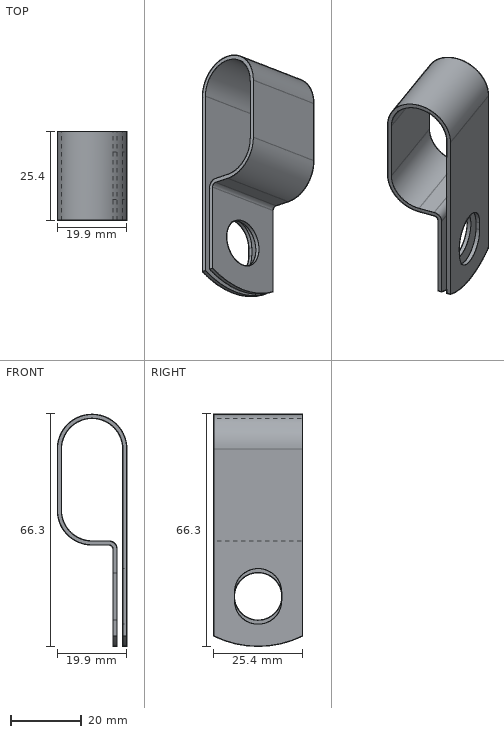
import cadquery as cq
import math

thickness = 1.214
width = 25.4
height = 66.26

loop_inner_width = 17.462
loop_straight = 17.462
inner_radius = loop_inner_width / 2
outer_radius = inner_radius + thickness

tab_gap = 1.588
bend_inner_radius = 1.15
bend_outer_radius = bend_inner_radius + thickness
hole_diameter = 13.49
slot_length = 15.875
hole_height = 14.288
end_radius = 28.575

upper_center_z = height - outer_radius
lower_center_z = upper_center_z - loop_straight
loop_floor_z = lower_center_z - inner_radius
loop_bottom_z = lower_center_z - outer_radius

short_tab_right = inner_radius - tab_gap
short_tab_left = short_tab_right - thickness
bend_center = (short_tab_left - bend_inner_radius, loop_bottom_z - bend_inner_radius)


def point_on_circle(center, radius, angle):
    """Point on an XZ circle, with the angle in degrees measured from +X."""
    return (
        center[0] + radius * math.cos(math.radians(angle)),
        center[1] + radius * math.sin(math.radians(angle)),
    )


def add_arc(path, center, radius, start, end):
    """Continue a path along an arc whose start angle is the current point."""
    middle_point = point_on_circle(center, radius, (start + end) / 2)
    end_point = point_on_circle(center, radius, end)
    return path.threePointArc(middle_point, end_point)


def make_strip():
    """Bent strip of constant thickness, centred on Y = 0."""
    upper_center = (0, upper_center_z)
    lower_center = (0, lower_center_z)

    path = cq.Workplane("XZ").moveTo(outer_radius, 0)
    path = path.lineTo(outer_radius, upper_center_z)
    path = add_arc(path, upper_center, outer_radius, 0, 180)
    path = path.lineTo(-outer_radius, lower_center_z)
    path = add_arc(path, lower_center, outer_radius, 180, 270)
    path = path.lineTo(bend_center[0], loop_bottom_z)
    path = add_arc(path, bend_center, bend_inner_radius, 90, 0)
    path = path.lineTo(short_tab_left, 0)

    path = path.lineTo(short_tab_right, 0)
    path = path.lineTo(short_tab_right, bend_center[1])
    path = add_arc(path, bend_center, bend_outer_radius, 0, 90)
    path = path.lineTo(0, loop_floor_z)
    path = add_arc(path, lower_center, inner_radius, 270, 180)
    path = path.lineTo(-inner_radius, upper_center_z)
    path = add_arc(path, upper_center, inner_radius, 180, 0)
    path = path.lineTo(inner_radius, 0)
    return path.close().extrude(width / 2, both=True)


def make_rounded_end_envelope():
    """Block along X whose lower end has the curve shared by both tabs."""
    half_width = width / 2
    corner_z = end_radius - math.sqrt(end_radius**2 - half_width**2)
    return (
        cq.Workplane("YZ")
        .moveTo(-half_width, corner_z)
        .threePointArc((0, 0), (half_width, corner_z))
        .lineTo(half_width, height)
        .lineTo(-half_width, height)
        .close()
        .extrude(outer_radius, both=True)
    )


def make_short_tab_hole():
    """Round hole tool along X that passes through the short tab only."""
    return (
        cq.Workplane("YZ", origin=(short_tab_left, 0, hole_height))
        .circle(hole_diameter / 2)
        .extrude(thickness)
    )


def make_long_tab_slot():
    """Slot tool along X, elongated along Z, that passes through the long tab only."""
    return (
        cq.Workplane("YZ", origin=(inner_radius, 0, hole_height))
        .slot2D(slot_length, hole_diameter, 90)
        .extrude(thickness)
    )


result = (
    make_strip()
    .intersect(make_rounded_end_envelope())
    .cut(make_short_tab_hole())
    .cut(make_long_tab_slot())
)